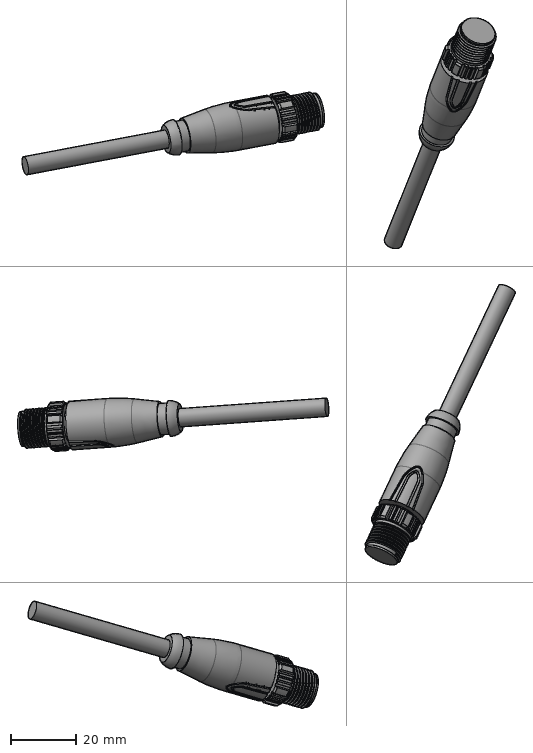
import cadquery as cq
import math

tip_y = 15.6
tip_step_y = tip_y - 0.6
thread_front_y = tip_y - 0.65
thread_rear_y = tip_y - 8.45
nut_front_y = tip_y - 9.3
nut_rear_y = nut_front_y - 5.1
grip_taper_y = -12.0
grip_cone_y = -20.4
grip_rear_y = -28.1
flange_front_y = -31.0
flange_rear_y = -34.2
overall_length = 95.8
cable_end_y = tip_y - overall_length

tip_radius = 5.35
thread_root_radius = 5.45
thread_crest_radius = 6.0
collar_radius = 6.05
neck_radius = 4.55
grip_radius = 7.5
grip_cone_radius = 6.78
grip_rear_radius = 5.45
groove_radius = 4.85
flange_radius = 5.55
flange_mid_radius = 5.25
flange_face_radius = 4.3
cable_radius = 2.85

thread_pitch = 1.0
thread_base_width = 0.8
thread_crest_width = 0.2
thread_root_overlap = 0.15
thread_collar_overlap = 0.6

nut_pad_radius = 7.6
nut_rib_radius = 7.2
nut_base_radius = 6.6
nut_chamfer = 0.6
pad_count = 6
pad_pitch = 360 / pad_count
pad_width = 2.1
rib_width = 0.8
rib_step = 11
rib_offsets = (-rib_step, 0, rib_step)

outline_depth = 0.4
outer_u = {"front": 4.05, "shoulder": (3.4, -8.4), "bend": (2.4, -11.2), "tip": -13.4}
inner_u = {"front": 2.3, "shoulder": (2.1, -8.6), "bend": (1.5, -10.4), "tip": -11.7}
outer_u_width = 0.45
inner_u_width = 0.65


def cylinder_about_y(radius, front_y, rear_y):
    """Solid cylinder on the Y axis between two stations."""
    return cq.Workplane("XZ", origin=(0, front_y, 0)).circle(radius).extrude(front_y - rear_y)


def grip_body(inset=0.0):
    """Barrel of the grip, straight at the front, then curving into a rear cone."""
    front_radius = grip_radius - inset
    return (
        cq.Workplane("XY")
        .moveTo(0, 0)
        .lineTo(front_radius, 0)
        .lineTo(front_radius, grip_taper_y)
        .tangentArcPoint((grip_cone_radius - inset, grip_cone_y), relative=False)
        .lineTo(grip_rear_radius - inset, grip_rear_y)
        .lineTo(0, grip_rear_y)
        .close()
        .revolve(360, (0, 0, 0), (0, 1, 0))
    )


def u_prism(u, inset=0.0):
    """Tall prism with a tapered, round-ended outline, open at the grip front."""
    front = u["front"] - inset
    shoulder_x, shoulder_y = u["shoulder"]
    bend_x, bend_y = u["bend"]
    shoulder_x -= inset
    bend_inset = inset * math.sin(math.radians(45))
    bend_x -= bend_inset
    bend_y += bend_inset
    tip = (0, u["tip"] + inset)
    return (
        cq.Workplane("XY")
        .moveTo(-front, 0)
        .lineTo(front, 0)
        .lineTo(shoulder_x, shoulder_y)
        .spline([(bend_x, bend_y), tip, (-bend_x, bend_y), (-shoulder_x, shoulder_y)], includeCurrent=True)
        .close()
        .extrude(grip_radius, both=True)
    )


def u_groove(u, width):
    """Both copies of one U-shaped groove, following the grip surface."""
    band = u_prism(u).cut(u_prism(u, width))
    return band.cut(grip_body(outline_depth))


def grip():
    body = grip_body()
    body = body.cut(u_groove(outer_u, outer_u_width))
    return body.cut(u_groove(inner_u, inner_u_width))


def rear_flange():
    """Domed collar where the cable leaves the moulding."""
    flange_mid_y = (flange_front_y + flange_rear_y) / 2
    return (
        cq.Workplane("XY")
        .moveTo(0, flange_front_y)
        .lineTo(flange_radius, flange_front_y)
        .threePointArc((flange_mid_radius, flange_mid_y), (flange_face_radius, flange_rear_y))
        .lineTo(0, flange_rear_y)
        .close()
        .revolve(360, (0, 0, 0), (0, 1, 0))
    )


def thread():
    """Right-handed helical ridge on the plug tip."""
    base = thread_base_width / 2
    crest = thread_crest_width / 2
    root = thread_root_radius - thread_root_overlap
    start_y = thread_rear_y + base - thread_collar_overlap
    length = thread_front_y - base - start_y
    helix = cq.Workplane(cq.Wire.makeHelix(thread_pitch, length, root))
    ridge = (
        cq.Workplane("XZ")
        .moveTo(root, -base)
        .lineTo(thread_crest_radius, -crest)
        .lineTo(thread_crest_radius, crest)
        .lineTo(root, base)
        .close()
        .sweep(helix, isFrenet=True)
    )
    return ridge.rotate((0, 0, 0), (1, 0, 0), -90).translate((0, start_y, 0))


def nut_bar(width, radius, angle):
    """Radial bar along the nut, from its axis to a rounded top at the given radius."""
    length = nut_front_y - nut_rear_y
    reach = 2 * radius
    middle_y = (nut_front_y + nut_rear_y) / 2
    bar = cq.Workplane("XY").box(reach, length, width, centered=(False, True, True))
    bar = bar.translate((0, middle_y, 0)).rotate((0, 0, 0), (0, 1, 0), angle)
    return bar.intersect(cylinder_about_y(radius, nut_front_y, nut_rear_y))


def nut():
    """Coupling nut with six grip pads and three ribs between each pair."""
    body = cylinder_about_y(nut_base_radius, nut_front_y, nut_rear_y)
    for pad in range(pad_count):
        pad_angle = pad * pad_pitch
        body = body.union(nut_bar(pad_width, nut_pad_radius, pad_angle))
        for offset in rib_offsets:
            rib_angle = pad_angle + pad_pitch / 2 + offset
            body = body.union(nut_bar(rib_width, nut_rib_radius, rib_angle))
    envelope = cylinder_about_y(nut_pad_radius, nut_front_y, nut_rear_y).edges().chamfer(nut_chamfer)
    return body.intersect(envelope)


plug_tip = cylinder_about_y(tip_radius, tip_y, tip_step_y)
thread_core = cylinder_about_y(thread_root_radius, tip_step_y, nut_front_y)
tip_collar = cylinder_about_y(collar_radius, thread_rear_y, nut_front_y)
neck = cylinder_about_y(neck_radius, nut_rear_y, 0)
rear_groove = cylinder_about_y(groove_radius, grip_rear_y, flange_front_y)
cable = cylinder_about_y(cable_radius, flange_rear_y, cable_end_y)

result = thread_core.union(thread()).union(plug_tip)
for piece in (tip_collar, nut(), neck, grip(), rear_groove, rear_flange(), cable):
    result = result.union(piece)